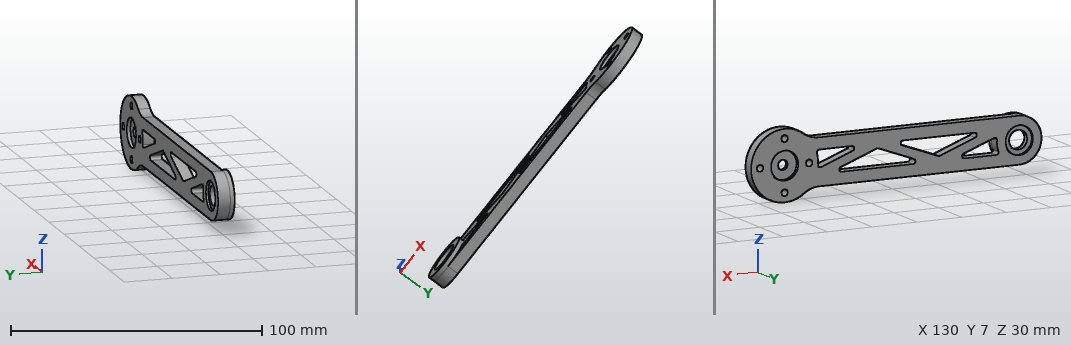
import cadquery as cq
import math

arm_length = 105.0
arm_thickness = 5.0
pivot_radius = 10.0
hub_radius = 15.0
neck_fillet = 10.0
boss_height = 2.0

seat_diameter = 12.2
pivot_hole_diameter = 8.0
pivot_front_seat_depth = 3.5
pivot_back_seat_depth = 1.0

insert_recess = 1.5
insert_thickness = arm_thickness - 2 * insert_recess
insert_hole_diameter = 4.2
relief_diameter = 6.2
relief_depth = 0.5

screw_hole_diameter = 2.8
screw_circle_radius = 11.0
screw_count = 4

window_count = 4
window_pitch = 27.45
first_apex_x = 8.55
window_apex_z = 3.0
window_edge_z = pivot_radius / 2
window_half_width = 21.6
window_corner_radius = 1.0

front_y = -arm_thickness / 2
back_y = arm_thickness / 2
boss_front_y = front_y - boss_height


def cylinder(x, z, diameter, y_start, y_end):
    """Cylinder along Y between two Y positions."""
    plane = cq.Plane(origin=(x, y_start, z), xDir=(1, 0, 0), normal=(0, 1, 0))
    return cq.Workplane(plane).circle(diameter / 2).extrude(y_end - y_start)


def make_blank():
    """Bar with a rounded pivot end and a larger round hub, blended at the neck."""
    arc_centre_z = pivot_radius + neck_fillet
    centre_distance = hub_radius + neck_fillet
    neck_x = arm_length - math.sqrt(centre_distance ** 2 - arc_centre_z ** 2)
    neck_angle = math.acos(arc_centre_z / centre_distance)
    hub_x = arm_length - hub_radius * math.sin(neck_angle)
    hub_z = hub_radius * math.cos(neck_angle)
    mid_x = neck_x + neck_fillet * math.sin(neck_angle / 2)
    mid_z = arc_centre_z - neck_fillet * math.cos(neck_angle / 2)
    return (
        cq.Workplane("XZ", origin=(0, back_y, 0))
        .moveTo(0, pivot_radius)
        .lineTo(neck_x, pivot_radius)
        .threePointArc((mid_x, mid_z), (hub_x, hub_z))
        .threePointArc((arm_length + hub_radius, 0), (hub_x, -hub_z))
        .threePointArc((mid_x, -mid_z), (neck_x, -pivot_radius))
        .lineTo(0, -pivot_radius)
        .threePointArc((-pivot_radius, 0), (0, pivot_radius))
        .close()
        .extrude(arm_thickness)
    )


def make_window(index):
    """One truss window; even ones point up, odd ones point down."""
    apex_x = first_apex_x + index * window_pitch
    apex_z = window_apex_z if index % 2 == 0 else -window_apex_z
    edge_z = -math.copysign(window_edge_z, apex_z)
    window = (
        cq.Workplane("XZ", origin=(0, back_y, 0))
        .moveTo(apex_x, apex_z)
        .lineTo(apex_x + window_half_width, edge_z)
        .lineTo(apex_x - window_half_width, edge_z)
        .close()
        .extrude(arm_thickness)
    )
    if index == 0:
        window = window.cut(cylinder(0, 0, 2 * pivot_radius, front_y, back_y))
        window = cq.Workplane(window.solids(">X").val())
    if index == window_count - 1:
        window = window.cut(cylinder(arm_length, 0, 2 * hub_radius, front_y, back_y))
        window = cq.Workplane(window.solids("<X").val())
    corners = window.edges("|Y")
    if 0 < index < window_count - 1:
        corners = corners.edges("<X or >X")
    return corners.fillet(window_corner_radius)


def make_arm():
    boss = cylinder(0, 0, 2 * pivot_radius, boss_front_y, front_y)
    arm = make_blank().union(boss, clean=False)

    cutters = [
        cylinder(0, 0, seat_diameter, boss_front_y, boss_front_y + pivot_front_seat_depth),
        cylinder(0, 0, pivot_hole_diameter, boss_front_y, back_y),
        cylinder(0, 0, seat_diameter, back_y - pivot_back_seat_depth, back_y),
    ]
    cutters.append(cylinder(arm_length, 0, seat_diameter, front_y, back_y))

    for index in range(screw_count):
        angle = 2 * math.pi * index / screw_count
        x = arm_length + screw_circle_radius * math.cos(angle)
        z = screw_circle_radius * math.sin(angle)
        cutters.append(cylinder(x, z, screw_hole_diameter, front_y, back_y))

    for index in range(window_count):
        cutters.append(make_window(index))

    for cutter in cutters:
        arm = arm.cut(cutter, clean=False)
    return arm


def make_hub_insert():
    insert_front_y = front_y + insert_recess
    insert_back_y = insert_front_y + insert_thickness
    insert = cylinder(arm_length, 0, seat_diameter, insert_front_y, insert_back_y)
    insert = insert.cut(cylinder(arm_length, 0, insert_hole_diameter, insert_front_y, insert_back_y))
    return insert.cut(
        cylinder(arm_length, 0, relief_diameter, insert_front_y, insert_front_y + relief_depth)
    )


arm = make_arm()
hub_insert = make_hub_insert()
result = cq.Compound.makeCompound([arm.solids().val(), hub_insert.val()])